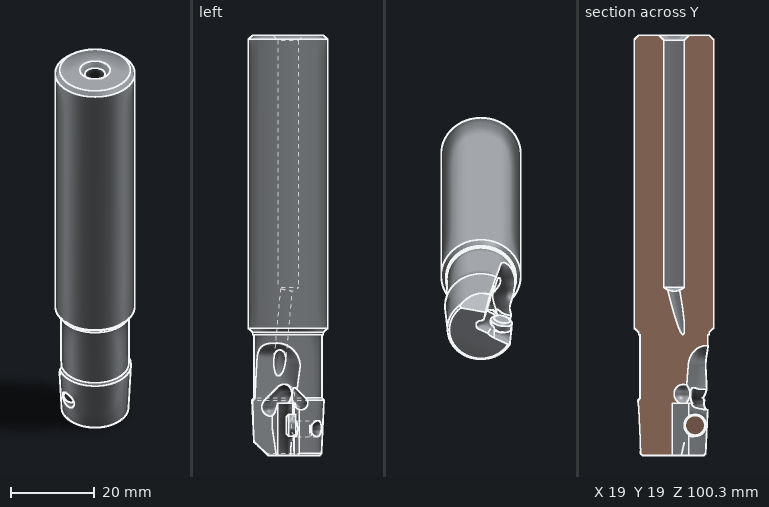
import cadquery as cq
import math

LENGTH = 100.3
SHANK_RADIUS = 9.5
TOP_CHAMFER_WIDTH = 1.1
TOP_CHAMFER_HEIGHT = 1.0
SHANK_BOTTOM_Z = 30.4
COLLAR_RADIUS = 8.4
COLLAR_TOP_Z = 29.4
COLLAR_BOTTOM_Z = 28.8
NECK_RADIUS = 8.1
NECK_BOTTOM_Z = 13.7
HEAD_TOP_RADIUS = 8.6
HEAD_TOP_Z = 13.1
HEAD_BOTTOM_RADIUS = 8.0
END_CHAMFER = 0.5

BORE_MOUTH_RADIUS = 3.6
BORE_RADIUS = 2.4
BORE_MOUTH_DEPTH = 1.2
BORE_BOTTOM_Z = 40.1
DRILL_HALF_ANGLE = 59.0
COOLANT_RADIUS = 1.4
COOLANT_START = cq.Vector(0.2, 0.4, BORE_BOTTOM_Z)
COOLANT_EXIT = cq.Vector(-3.5, 2.0, 22.5)
COOLANT_RUN_OUT = 0.3

FLUTE_EDGE_Y = -2.9
FLUTE_TOP_Z = 27.5
FLUTE_CORNER_RADIUS = 5.6
FLUTE_FLOOR_X = -3.2
FLUTE_TILT = -8.0
FLUTE_BLEND_RADIUS = 4.4
FLUTE_FOOT_Y = -1.6

CUT_REACH = 15.0
SELECT_MARGIN = 1.0

SEAT_TOP_Z = 12.4
CORNER_X = 0.2
CORNER_Y = 1.2
CORNER_RADIUS = 1.2
SEAT_LIP_X = -1.0
SEAT_LIP_Y = 3.7
WALL_STEP_X = -3.5
WALL_STEP_INNER_Y = -1.1
WALL_STEP_OUTER_Y = -1.5
WALL_EDGE_X = -7.8
WALL_EDGE_Y = -2.7

RELIEF_X = -2.2
RELIEF_CORNER_Y = 0.8
RELIEF_CORNER_Z = 14.7
GROOVE_ANGLE = 45.0
LONG_RELIEF_RADIUS = 2.3
LONG_RELIEF_LENGTH = 4.5
EXIT_SLOT_FLOOR_X = -4.0
EXIT_SLOT_WIDTH = 3.2
EXIT_SLOT_LENGTH = 6.6
EXIT_SLOT_FILLET = 1.0
EXIT_SLOT_CENTRE_Y = -1.9
EXIT_SLOT_CENTRE_Z = 13.7

CORNER_CUT_TIP_Y = 4.7
CORNER_CUT_TOP_Y = 8.0
CORNER_CUT_TOP_Z = 3.2

SCREW_X = -4.4
SCREW_Z = 6.4
SCREW_RADIUS = 1.9
SCREW_END_Y = -5.6
SCREW_END_CHAMFER = 0.4
SCREW_HEAD_X = -5.0
SCREW_HEAD_Z = 7.2
SCREW_HEAD_RADIUS = 2.6
SCREW_HEAD_BACK_Y = -1.8
SCREW_HEAD_FRONT_Y = 0.4
SCREW_HEAD_CHAMFER = 0.6


def cylinder_between(start, end, radius):
    axis = end - start
    return cq.Workplane(cq.Solid.makeCylinder(radius, axis.Length, start, axis))


def screw_shank(start_y):
    return cylinder_between(
        cq.Vector(SCREW_X, start_y, SCREW_Z),
        cq.Vector(SCREW_X, SCREW_HEAD_BACK_Y, SCREW_Z),
        SCREW_RADIUS,
    )


def screw_head():
    return cylinder_between(
        cq.Vector(SCREW_HEAD_X, SCREW_HEAD_BACK_Y, SCREW_HEAD_Z),
        cq.Vector(SCREW_HEAD_X, SCREW_HEAD_FRONT_Y, SCREW_HEAD_Z),
        SCREW_HEAD_RADIUS,
    )


def turned_blank():
    return (
        cq.Workplane("XZ")
        .moveTo(0, 0)
        .lineTo(HEAD_BOTTOM_RADIUS - END_CHAMFER, 0)
        .lineTo(HEAD_BOTTOM_RADIUS, END_CHAMFER)
        .lineTo(HEAD_TOP_RADIUS, HEAD_TOP_Z)
        .lineTo(NECK_RADIUS, NECK_BOTTOM_Z)
        .lineTo(NECK_RADIUS, COLLAR_BOTTOM_Z)
        .lineTo(COLLAR_RADIUS, COLLAR_BOTTOM_Z)
        .lineTo(COLLAR_RADIUS, COLLAR_TOP_Z)
        .lineTo(SHANK_RADIUS, SHANK_BOTTOM_Z)
        .lineTo(SHANK_RADIUS, LENGTH - TOP_CHAMFER_HEIGHT)
        .lineTo(SHANK_RADIUS - TOP_CHAMFER_WIDTH, LENGTH)
        .lineTo(0, LENGTH)
        .close()
        .revolve(360, (0, 0, 0), (0, 1, 0))
    )


def coolant_passage():
    drill_tip_z = BORE_BOTTOM_Z - BORE_RADIUS / math.tan(math.radians(DRILL_HALF_ANGLE))
    bore = (
        cq.Workplane("XZ")
        .moveTo(0, drill_tip_z)
        .lineTo(BORE_RADIUS, BORE_BOTTOM_Z)
        .lineTo(BORE_RADIUS, LENGTH - BORE_MOUTH_DEPTH)
        .lineTo(BORE_MOUTH_RADIUS, LENGTH)
        .lineTo(0, LENGTH)
        .close()
        .revolve(360, (0, 0, 0), (0, 1, 0))
    )
    run_out = COOLANT_EXIT + (COOLANT_EXIT - COOLANT_START) * COOLANT_RUN_OUT
    return bore.union(cylinder_between(COOLANT_START, run_out, COOLANT_RADIUS))


def chip_flute():
    corner_z = FLUTE_TOP_Z - FLUTE_CORNER_RADIUS
    corner_y = FLUTE_EDGE_Y + FLUTE_CORNER_RADIUS
    diagonal = FLUTE_CORNER_RADIUS * math.sqrt(0.5)
    flute = (
        cq.Workplane("YZ")
        .workplane(offset=FLUTE_FLOOR_X - CUT_REACH)
        .moveTo(FLUTE_FOOT_Y, -CUT_REACH)
        .lineTo(FLUTE_FOOT_Y, SEAT_TOP_Z)
        .lineTo(FLUTE_EDGE_Y, corner_z)
        .threePointArc((corner_y - diagonal, corner_z + diagonal), (corner_y, FLUTE_TOP_Z))
        .lineTo(CUT_REACH, FLUTE_TOP_Z)
        .lineTo(CUT_REACH, -CUT_REACH)
        .close()
        .extrude(CUT_REACH)
    )
    wall_edges = cq.selectors.BoxSelector(
        (FLUTE_FLOOR_X - SELECT_MARGIN, FLUTE_EDGE_Y - SELECT_MARGIN, SELECT_MARGIN - CUT_REACH),
        (FLUTE_FLOOR_X + SELECT_MARGIN, CUT_REACH - SELECT_MARGIN, FLUTE_TOP_Z + SELECT_MARGIN),
    )
    flute = flute.edges(wall_edges).fillet(FLUTE_BLEND_RADIUS)
    pivot = (FLUTE_FLOOR_X, 0, corner_z)
    pivot_end = (FLUTE_FLOOR_X, 1, corner_z)
    return flute.rotate(pivot, pivot_end, FLUTE_TILT)


def blade_seat():
    seat = (
        cq.Workplane("XY")
        .polyline(
            [
                (-CUT_REACH, WALL_EDGE_Y),
                (WALL_EDGE_X, WALL_EDGE_Y),
                (WALL_STEP_X, WALL_STEP_OUTER_Y),
                (WALL_STEP_X, WALL_STEP_INNER_Y),
                (CORNER_X, CORNER_Y - CORNER_RADIUS),
                (CORNER_X, CORNER_Y + CORNER_RADIUS),
                (SEAT_LIP_X, SEAT_LIP_Y),
                (-CUT_REACH, SEAT_LIP_Y),
            ]
        )
        .close()
        .extrude(SEAT_TOP_Z)
    )
    corner = (
        cq.Workplane("XY").center(CORNER_X, CORNER_Y).circle(CORNER_RADIUS).extrude(SEAT_TOP_Z)
    )
    return seat.union(corner)


def relief_grooves():
    angle = math.radians(GROOVE_ANGLE)
    run = LONG_RELIEF_LENGTH * math.cos(angle)
    drop = LONG_RELIEF_LENGTH * math.sin(angle)
    corner = cq.Vector(RELIEF_X, RELIEF_CORNER_Y, RELIEF_CORNER_Z)
    lower_end = corner + cq.Vector(0, run, -drop)
    long_groove = cylinder_between(corner, lower_end, LONG_RELIEF_RADIUS)
    for end in (corner, lower_end):
        long_groove = long_groove.union(
            cq.Workplane("XY").sphere(LONG_RELIEF_RADIUS).translate(end)
        )
    exit_slot = (
        cq.Workplane("YZ")
        .workplane(offset=EXIT_SLOT_FLOOR_X - CUT_REACH)
        .center(EXIT_SLOT_CENTRE_Y, EXIT_SLOT_CENTRE_Z)
        .slot2D(EXIT_SLOT_LENGTH, EXIT_SLOT_WIDTH, GROOVE_ANGLE)
        .extrude(CUT_REACH)
        .faces(">X")
        .edges()
        .fillet(EXIT_SLOT_FILLET)
    )
    return long_groove.union(exit_slot)


def corner_cut():
    return (
        cq.Workplane("YZ")
        .polyline(
            [
                (CORNER_CUT_TIP_Y, 0),
                (CORNER_CUT_TOP_Y, CORNER_CUT_TOP_Z),
                (CUT_REACH, CORNER_CUT_TOP_Z),
                (CUT_REACH, 0),
            ]
        )
        .close()
        .extrude(CUT_REACH, both=True)
    )


def screw_hole():
    return screw_shank(-CUT_REACH).union(screw_head())


def make_holder():
    return (
        turned_blank()
        .cut(coolant_passage())
        .cut(chip_flute())
        .cut(blade_seat())
        .cut(relief_grooves())
        .cut(corner_cut())
        .cut(screw_hole())
    )


def make_clamp_screw():
    shank = screw_shank(SCREW_END_Y).faces("<Y").chamfer(SCREW_END_CHAMFER)
    head = screw_head().faces(">Y").chamfer(SCREW_HEAD_CHAMFER)
    return shank.union(head)


holder = make_holder()
clamp_screw = make_clamp_screw()

result = cq.Compound.makeCompound([holder.solids().val(), clamp_screw.solids().val()])